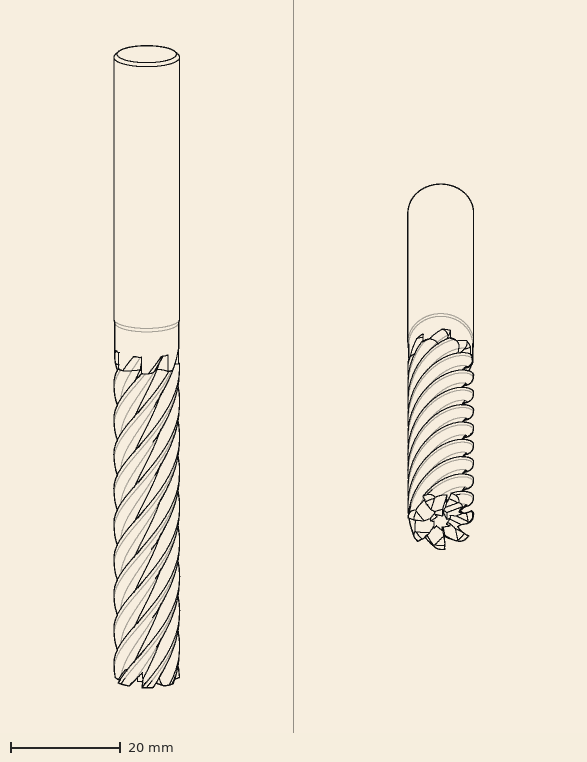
import cadquery as cq
import math

total_length = 119.0
shank_diameter = 12.0
shank_radius = shank_diameter / 2
cutter_length = 60.0

neck_radius = 5.8
shoulder_bottom = 68.0
shoulder_top = 68.7
top_chamfer = 0.6

tooth_count = 7
tooth_pitch = 360.0 / tooth_count
helix_lead = 46.5
edge_angle_at_neck = 180.0
land_end_angle = 8.0
land_end_radius = 6.0
back_middle_angle = 16.0
back_middle_radius = 5.7
heel_angle = 26.5
heel_radius = 4.8
heel_facet_end_angle = 42.0
heel_facet_end_radius = 3.6
gullet_angle = 48.5
gullet_radius = 4.0

runout_height = 3.1
runout_outer_radius = 7.1

corner_chamfer_radial = 1.1
corner_chamfer_height = 0.4
gash_height = 2.6
gash_width = 2.4
gash_inner_radius = 1.2
gash_length = shank_radius


def polar(radius, angle):
    """Point at the given radius and angle in degrees."""
    turn = math.radians(angle)
    return (radius * math.cos(turn), radius * math.sin(turn))


def twist_over(height):
    """Angle in degrees that the helix turns over a height."""
    return 360.0 * height / helix_lead


edge_angle_at_end = edge_angle_at_neck - twist_over(cutter_length)


def add_flute(section, edge):
    """Draw from the end of one land over the tooth back and the gullet to the next cutting edge."""
    return (
        section.threePointArc(
            polar(back_middle_radius, edge + back_middle_angle),
            polar(heel_radius, edge + heel_angle),
        )
        .lineTo(*polar(heel_facet_end_radius, edge + heel_facet_end_angle))
        .threePointArc(
            polar(gullet_radius, edge + gullet_angle),
            polar(shank_radius, edge + tooth_pitch),
        )
    )


def tooth_section(start_angle):
    """Cross-section of the cutter: lands with rounded backs, joined by gullets."""
    section = cq.Workplane("XY").moveTo(*polar(shank_radius, start_angle))
    for tooth in range(tooth_count):
        edge = start_angle + tooth * tooth_pitch
        section = section.lineTo(*polar(land_end_radius, edge + land_end_angle))
        section = add_flute(section, edge)
    return section.close()


def end_envelope():
    """Cylinder around the cutter with the corner at its free end chamfered."""
    return (
        cq.Workplane("XZ")
        .lineTo(shank_radius - corner_chamfer_radial, 0)
        .lineTo(shank_radius, corner_chamfer_height)
        .lineTo(shank_radius, cutter_length)
        .lineTo(0, cutter_length)
        .close()
        .revolve(360, (0, 0, 0), (0, 1, 0))
    )


def end_gash(edge_angle):
    """Wedge in front of one end tooth, upright on the side of its cutting edge."""
    return (
        cq.Workplane("YZ", origin=(gash_inner_radius, 0, 0))
        .lineTo(0, gash_height)
        .lineTo(-gash_width, 0)
        .close()
        .extrude(gash_length)
        .rotate((0, 0, 0), (0, 0, 1), edge_angle)
    )


def make_cutter():
    cutter = tooth_section(edge_angle_at_end).twistExtrude(cutter_length, twist_over(cutter_length))
    envelope = end_envelope()
    for tooth in range(tooth_count):
        envelope = envelope.cut(end_gash(edge_angle_at_end + tooth * tooth_pitch))
    return cutter.intersect(envelope).solids()


def flute_section(edge):
    """Section of the flute behind one cutting edge, closed outside the neck."""
    land_end = edge + land_end_angle
    section = cq.Workplane("XY", origin=(0, 0, cutter_length)).moveTo(*polar(land_end_radius, land_end))
    return (
        add_flute(section, edge)
        .lineTo(*polar(runout_outer_radius, edge + tooth_pitch))
        .lineTo(*polar(runout_outer_radius, land_end))
        .close()
    )


def flute_runout(edge):
    """End of one flute: the part of a straight flute that the helical flute also sweeps."""
    helical = flute_section(edge).twistExtrude(runout_height, twist_over(runout_height))
    straight = flute_section(edge).extrude(runout_height)
    return helical.intersect(straight)


def make_shank():
    shank = (
        cq.Workplane("XZ")
        .moveTo(0, cutter_length)
        .lineTo(neck_radius, cutter_length)
        .lineTo(neck_radius, shoulder_bottom)
        .lineTo(shank_radius, shoulder_top)
        .lineTo(shank_radius, total_length - top_chamfer)
        .lineTo(shank_radius - top_chamfer, total_length)
        .lineTo(0, total_length)
        .close()
        .revolve(360, (0, 0, 0), (0, 1, 0))
    )
    runout = flute_runout(edge_angle_at_neck)
    for tooth in range(tooth_count):
        shank = shank.cut(runout.rotate((0, 0, 0), (0, 0, 1), tooth * tooth_pitch))
    return shank.solids()


cutter = make_cutter()
shank = make_shank()

result = cq.Compound.makeCompound([cutter.val(), shank.val()])